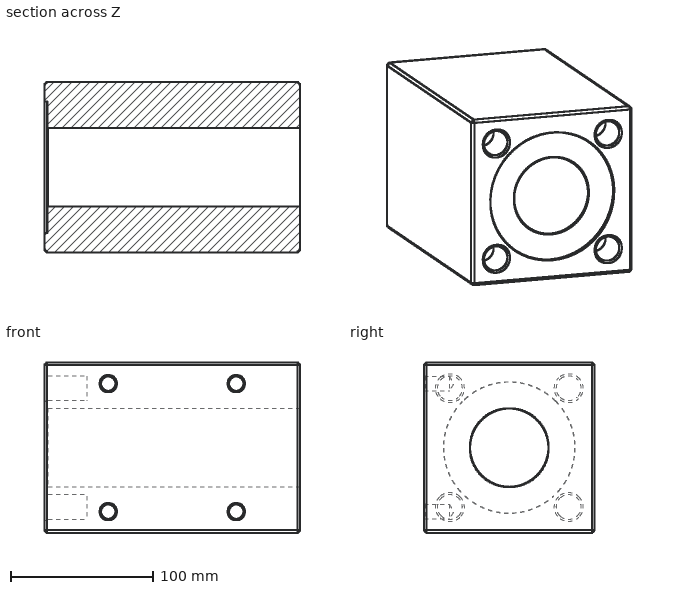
import cadquery as cq
import math

length = 180.0
width = 120.0
block_chamfer = 2.0

bore_diameter = 55.0
bore_mouth = 56.2
recess_diameter = 92.2
recess_mouth = 92.7
recess_depth = 2.0

corner_hole_diameter = 17.5
corner_hole_mouth = 20.3
corner_hole_spacing = 83.5
corner_hole_depth = 30.0

side_hole_diameter = 10.3
side_hole_mouth = 12.0
side_hole_spacing = 90.0
side_hole_depth = 18.0
drill_point_angle = 118.0


def hole_body(diameter, mouth_diameter, depth, point_depth=0.0):
    """Solid of a hole along +Z from the origin, with a 45 degree mouth chamfer and an optional conical end."""
    radius = diameter / 2
    mouth_radius = mouth_diameter / 2
    profile = (
        cq.Workplane("XZ")
        .moveTo(0, 0)
        .lineTo(mouth_radius, 0)
        .lineTo(radius, mouth_radius - radius)
        .lineTo(radius, depth)
        .lineTo(0, depth + point_depth)
        .close()
    )
    return profile.revolve(360, (0, 0, 0), (0, 1, 0))


def square_pattern(spacing):
    """Four positions centred on the origin."""
    half = spacing / 2
    return [(u, v) for u in (-half, half) for v in (-half, half)]


block = cq.Workplane("XY").box(length, width, width).edges().chamfer(block_chamfer)

recess = hole_body(recess_diameter, recess_mouth, recess_depth).rotate((0, 0, 0), (0, 1, 0), 90)
bore = hole_body(bore_diameter, bore_mouth, length).rotate((0, 0, 0), (0, 1, 0), 90)
result = block.cut(recess.translate((-length / 2, 0, 0)))
result = result.cut(bore.translate((-length / 2 + recess_depth, 0, 0)))

corner_hole = hole_body(corner_hole_diameter, corner_hole_mouth, corner_hole_depth)
corner_hole = corner_hole.rotate((0, 0, 0), (0, 1, 0), 90)
for y, z in square_pattern(corner_hole_spacing):
    result = result.cut(corner_hole.translate((-length / 2, y, z)))

drill_point_depth = side_hole_diameter / 2 / math.tan(math.radians(drill_point_angle / 2))
side_hole = hole_body(side_hole_diameter, side_hole_mouth, side_hole_depth, drill_point_depth)
side_hole = side_hole.rotate((0, 0, 0), (1, 0, 0), -90)
for x, z in square_pattern(side_hole_spacing):
    result = result.cut(side_hole.translate((x, -width / 2, z)))